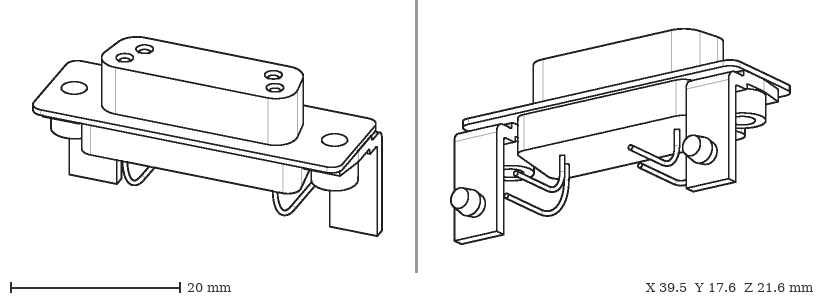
import cadquery as cq
import math

plate_width = 39.5
plate_depth = 12.9
plate_thickness = 0.75
plate_corner_radius = 1.45
hole_spacing = 33.3
hole_diameter = 3.05

side_slant = math.radians(10)
face_height = 6.3
face_depth = 8.1
face_long_edge = 25.7
face_corner_radius = 2.6
housing_bottom_z = -5.25
housing_depth = 11.2
housing_long_edge = 28.45
housing_corner_radius = 1.6

long_row_count = 8
short_row_count = 7
contact_pitch = 2.745
row_spacing = 2.84
long_row_x = (long_row_count - 1) * contact_pitch / 2
short_row_x = (short_row_count - 1) * contact_pitch / 2
upper_tail_z = -10.2
tail_pitch = 2.54
contacts = [
    (row_spacing / 2, short_row_x, upper_tail_z),
    (-row_spacing / 2, long_row_x, upper_tail_z - tail_pitch),
]
pin_diameter = 0.6
pin_bend_z = -7.25
pin_end_y = 11.1
socket_mouth_diameter = 2.05
socket_diameter = 1.3
socket_lead_in_depth = 0.4

bracket_width = 6.1
bracket_tip_width = 4.7
flange_thickness = 1.55
flange_tip_y = -4.05
crank_drop = 0.8
crank_top_y = 4.15
crank_bottom_y = 3.45
crank_radius = 0.25
leg_thickness = 1.5
leg_outer_y = 7.3
leg_bottom_z = -15.3
bend_outer_radius = 1.3
bend_inner_radius = 0.35

spacer_diameter = 5.55
spacer_bottom_z = -5.35
peg_z = -11.5
peg_root_diameter = 2.8
peg_bulge_diameter = 3.2
peg_tip_diameter = 2.55
peg_bulge_y = 8.6
peg_tip_y = 10.6


def d_prism(long_edge, depth, corner_radius, bottom_z, top_z):
    """Rounded trapezoid, wide edge towards -Y, extruded between two heights."""
    half_long = long_edge / 2
    half_short = half_long - depth * math.tan(side_slant)
    return (
        cq.Workplane("XY", origin=(0, 0, bottom_z))
        .polyline([
            (-half_long, -depth / 2),
            (half_long, -depth / 2),
            (half_short, depth / 2),
            (-half_short, depth / 2),
        ])
        .close()
        .extrude(top_z - bottom_z)
        .edges("|Z")
        .fillet(corner_radius)
    )


def make_plate():
    return (
        cq.Workplane("XY")
        .rect(plate_width, plate_depth)
        .extrude(-plate_thickness)
        .edges("|Z")
        .fillet(plate_corner_radius)
    )


def make_pin(x, row_y, tail_z):
    """Round wire running down from the housing and bending towards +Y."""
    bend_radius = pin_bend_z - tail_z
    corner = bend_radius * (1 - math.sqrt(0.5))
    path = (
        cq.Workplane("YZ", origin=(x, 0, 0))
        .moveTo(row_y, -plate_thickness)
        .lineTo(row_y, pin_bend_z)
        .threePointArc((row_y + corner, tail_z + corner), (row_y + bend_radius, tail_z))
        .lineTo(pin_end_y, tail_z)
    )
    return (
        cq.Workplane("XY", origin=(x, row_y, -plate_thickness))
        .circle(pin_diameter / 2)
        .sweep(path)
    )


def make_socket(x, row_y):
    """Conical lead-in cut into the mating face at one contact."""
    return (
        cq.Workplane("XY", origin=(x, row_y, face_height))
        .circle(socket_mouth_diameter / 2)
        .workplane(offset=-socket_lead_in_depth)
        .circle(socket_diameter / 2)
        .loft()
    )


def make_bracket(x):
    """Flange under the plate, cranked down and bent into a vertical leg."""
    flange_top = -plate_thickness
    flange_bottom = flange_top - flange_thickness
    leg_inner_y = leg_outer_y - leg_thickness
    profile = (
        cq.Workplane("YZ", origin=(x, 0, 0))
        .polyline([
            (flange_tip_y, flange_top),
            (crank_top_y, flange_top),
            (crank_top_y, flange_top - crank_drop),
            (leg_outer_y, flange_top - crank_drop),
            (leg_outer_y, leg_bottom_z),
            (leg_inner_y, leg_bottom_z),
            (leg_inner_y, flange_bottom - crank_drop),
            (crank_bottom_y, flange_bottom - crank_drop),
            (crank_bottom_y, flange_bottom),
            (flange_tip_y, flange_bottom),
        ])
        .close()
        .extrude(bracket_width / 2, both=True)
    )

    rounded_corners = [
        (leg_outer_y, flange_top - crank_drop, bend_outer_radius),
        (leg_inner_y, flange_bottom - crank_drop, bend_inner_radius),
        (crank_top_y, flange_top, crank_radius),
        (crank_top_y, flange_top - crank_drop, crank_radius),
        (crank_bottom_y, flange_bottom, crank_radius),
        (crank_bottom_y, flange_bottom - crank_drop, crank_radius),
    ]
    for y, z, radius in rounded_corners:
        corner = cq.selectors.NearestToPointSelector((x, y, z))
        profile = profile.edges(corner).fillet(radius)

    plan = (
        cq.Workplane("XY", origin=(x, 0, 0))
        .polyline([
            (-bracket_tip_width / 2, flange_tip_y),
            (bracket_tip_width / 2, flange_tip_y),
            (bracket_width / 2, 0),
            (bracket_width / 2, leg_outer_y),
            (-bracket_width / 2, leg_outer_y),
            (-bracket_width / 2, 0),
        ])
        .close()
        .extrude(leg_bottom_z)
    )
    return profile.intersect(plan)


def make_spacer(x):
    return (
        cq.Workplane("XY", origin=(x, 0, spacer_bottom_z))
        .circle(spacer_diameter / 2)
        .extrude(-plate_thickness - spacer_bottom_z - flange_thickness)
    )


def make_peg(x):
    """Barrel-shaped peg turned about an axis along Y."""
    return (
        cq.Workplane("XY", origin=(x, 0, peg_z))
        .polyline([
            (0, leg_outer_y),
            (peg_root_diameter / 2, leg_outer_y),
            (peg_bulge_diameter / 2, peg_bulge_y),
            (peg_tip_diameter / 2, peg_tip_y),
            (0, peg_tip_y),
        ])
        .close()
        .revolve(360, (0, 0, 0), (0, 1, 0))
    )


def make_mounting_hole(x):
    return (
        cq.Workplane("XY", origin=(x, 0, spacer_bottom_z))
        .circle(hole_diameter / 2)
        .extrude(-spacer_bottom_z)
    )


mating_face = d_prism(face_long_edge, face_depth, face_corner_radius, -plate_thickness, face_height)
housing = d_prism(
    housing_long_edge, housing_depth, housing_corner_radius, housing_bottom_z, -plate_thickness
)
result = make_plate().union(mating_face).union(housing)

for side in (-1, 1):
    hole_x = side * hole_spacing / 2
    result = result.union(make_bracket(hole_x))
    result = result.union(make_spacer(hole_x))
    result = result.union(make_peg(hole_x))
    result = result.cut(make_mounting_hole(hole_x))
    for row_y, contact_x, tail_z in contacts:
        result = result.union(make_pin(side * contact_x, row_y, tail_z))
        result = result.cut(make_socket(side * contact_x, row_y))